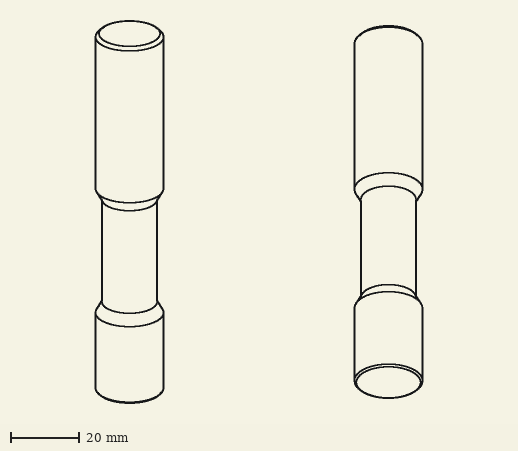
import cadquery as cq

length = 115.0
body_radius = 20.0 / 2
neck_radius = 16.2 / 2
lower_body_length = 25.0
upper_body_length = 50.0

shoulder_length = 3.5

top_chamfer = 1.0
bottom_chamfer = 0.6

upper_body_bottom = length - upper_body_length

profile = [
    (0, 0),
    (body_radius - bottom_chamfer, 0),
    (body_radius, bottom_chamfer),
    (body_radius, lower_body_length),
    (neck_radius, lower_body_length + shoulder_length),
    (neck_radius, upper_body_bottom - shoulder_length),
    (body_radius, upper_body_bottom),
    (body_radius, length - top_chamfer),
    (body_radius - top_chamfer, length),
    (0, length),
]

result = cq.Workplane("XZ").polyline(profile).close().revolve(360, (0, 0, 0), (0, 1, 0))